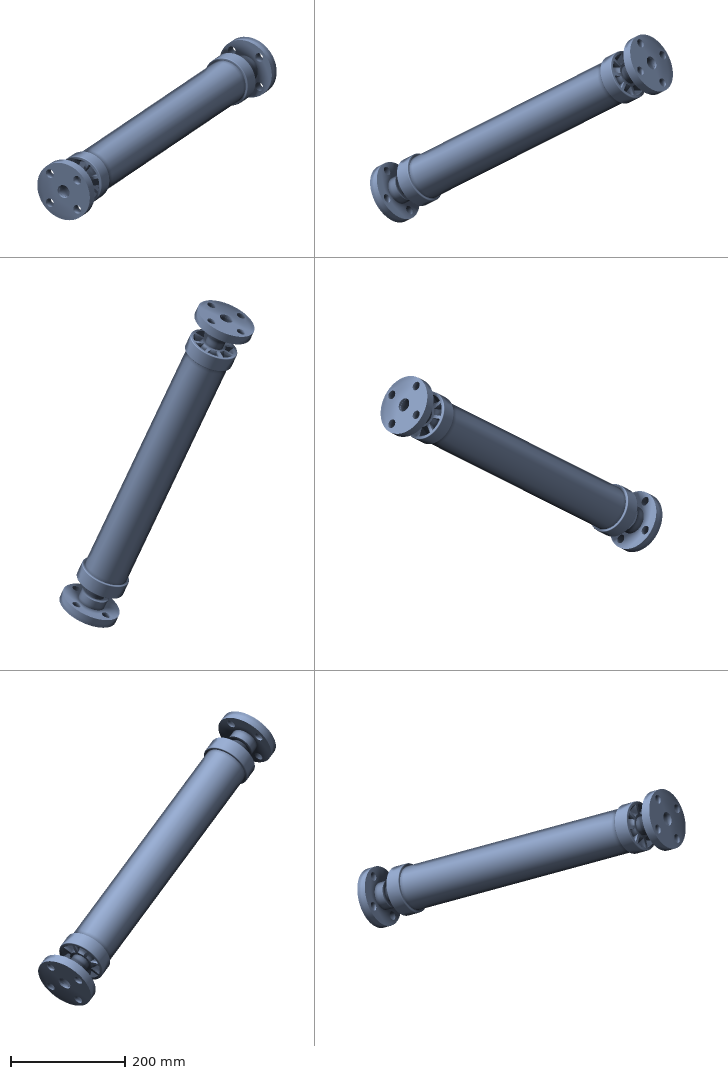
import cadquery as cq

length = 635.0
half_length = length / 2

flange_diameter = 107.0
flange_thickness = 16.5
bolt_hole_diameter = 16.0
bolt_hole_offset = 28.0

collar_diameter = 49.5
collar_length = 17.0
neck_diameter = 33.5
neck_length = 22.0

cap_diameter = 89.0
cap_length = 26.5
cap_fillet = 1.0
tube_diameter = 79.5

bore_diameter = 23.5
mouth_diameter = 24.0
mouth_depth = 5.0

pocket_count = 8
pocket_inner_diameter = 43.0
pocket_outer_diameter = 78.0
floor_inner_diameter = 58.5
floor_outer_diameter = 61.0
pocket_depth = 16.0
rib_thickness = 6.0

flange_inner_face = half_length - flange_thickness
collar_end = flange_inner_face - collar_length
cap_outer_face = collar_end - neck_length
cap_inner_face = cap_outer_face - cap_length


def cylinder(diameter, start, end):
    """Solid cylinder on the Y axis from y = start to y = end."""
    plane = cq.Workplane("XZ", origin=(0, start, 0))
    return plane.circle(diameter / 2).extrude(start - end)


def make_cap_pockets():
    """Tapered groove in the cap face, split by ribs that run out from the hub."""
    pocket_floor = cap_outer_face - pocket_depth
    profile = [
        (pocket_inner_diameter / 2, cap_outer_face),
        (pocket_outer_diameter / 2, cap_outer_face),
        (floor_outer_diameter / 2, pocket_floor),
        (floor_inner_diameter / 2, pocket_floor),
    ]
    groove = cq.Workplane("XY").polyline(profile).close().revolve(360, (0, 0, 0), (0, 1, 0))
    rib = cq.Workplane("XY").box(pocket_outer_diameter, pocket_depth, rib_thickness)
    rib = rib.translate((0, pocket_floor + pocket_depth / 2, 0))
    pitch = 360 / pocket_count
    for index in range(pocket_count // 2):
        groove = groove.cut(rib.rotate((0, 0, 0), (0, 1, 0), (index + 0.5) * pitch))
    return groove


def make_end():
    """Cap, neck, collar and drilled flange of the +Y end."""
    cap = cylinder(cap_diameter, cap_inner_face, cap_outer_face)
    cap = cap.edges().fillet(cap_fillet)
    cap = cap.cut(make_cap_pockets())
    neck = cylinder(neck_diameter, cap_inner_face, flange_inner_face)
    collar = cylinder(collar_diameter, collar_end, flange_inner_face)
    flange = cylinder(flange_diameter, flange_inner_face, half_length)
    for x in (-bolt_hole_offset, bolt_hole_offset):
        for z in (-bolt_hole_offset, bolt_hole_offset):
            hole = cylinder(bolt_hole_diameter, flange_inner_face, half_length)
            flange = flange.cut(hole.translate((x, 0, z)))
    mouth = cylinder(mouth_diameter, half_length - mouth_depth, half_length)
    return cap.union(neck).union(collar).union(flange).cut(mouth)


end = make_end()
tube = cylinder(tube_diameter, -cap_inner_face, cap_inner_face)
bore = cylinder(bore_diameter, -half_length, half_length)
result = tube.union(end).union(end.mirror("XZ")).cut(bore)